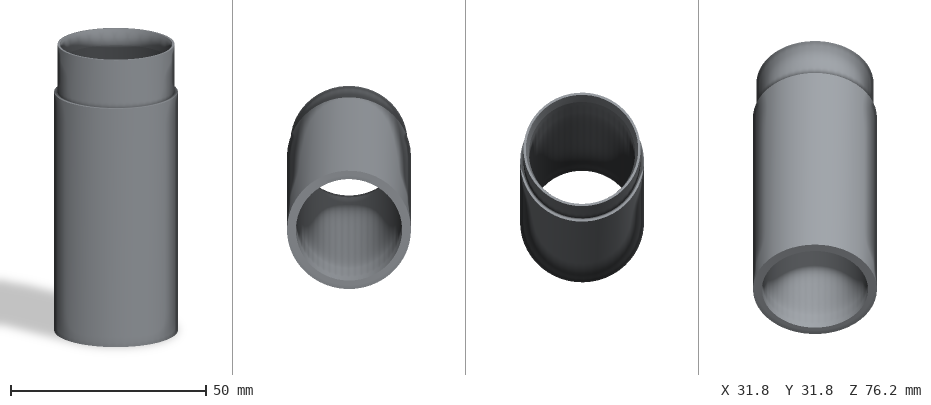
import cadquery as cq

body_diameter = 31.75
total_length = 76.2
neck_diameter = 30.0
neck_length = 12.7
bore_diameter = 27.2
mouth_diameter = 28.8
mouth_depth = 4.2

body_radius = body_diameter / 2
neck_radius = neck_diameter / 2
bore_radius = bore_diameter / 2
mouth_radius = mouth_diameter / 2
shoulder_height = total_length - neck_length

wall_profile = [
    (bore_radius, 0),
    (body_radius, 0),
    (body_radius, shoulder_height),
    (neck_radius, shoulder_height),
    (neck_radius, total_length),
    (mouth_radius, total_length),
    (bore_radius, total_length - mouth_depth),
]

result = cq.Workplane("XZ").polyline(wall_profile).close().revolve(360, (0, 0), (0, 1))